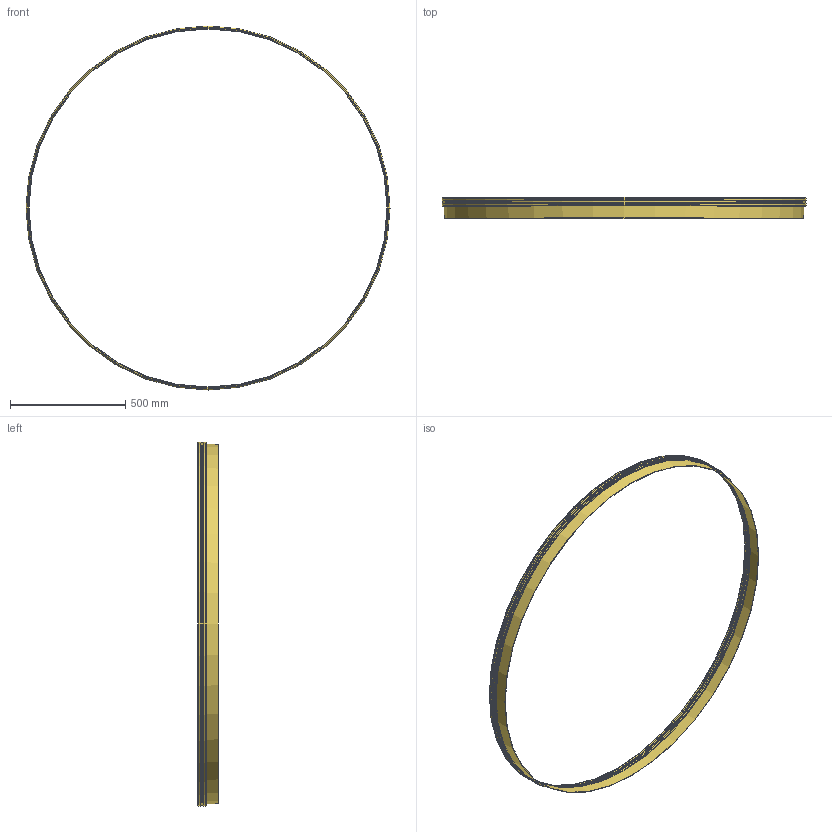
import cadquery as cq

sheet_thickness = 2.0
total_width = 89.0
crest_radius = 1576 / 2
groove_radius = 1567.5 / 2
skirt_top_radius = 1559 / 2
skirt_end_radius = 1554 / 2

groove_floor_half_width = 3.25
crest_width = 6.75
flank_width = crest_radius - groove_radius

crest_near = groove_floor_half_width + flank_width
crest_far = crest_near + crest_width
rim_half_width = crest_far + flank_width
groove_y = total_width - rim_half_width
rim_bottom_y = groove_y - rim_half_width

web_top_y = rim_bottom_y + sheet_thickness
web_corner_radius = groove_radius


def corrugation(inset):
    """Points of two crests and the groove between them, moved inward by the inset."""
    crest = crest_radius - inset
    groove = groove_radius - inset
    return [
        (groove, total_width),
        (crest, groove_y + crest_far),
        (crest, groove_y + crest_near),
        (groove, groove_y + groove_floor_half_width),
        (groove, groove_y - groove_floor_half_width),
        (crest, groove_y - crest_near),
        (crest, groove_y - crest_far),
    ]


def ring_profile():
    """Closed half section of the sheet: outer face down, inner face back up."""
    web_and_skirt = [
        (groove_radius, rim_bottom_y),
        (skirt_top_radius, rim_bottom_y),
        (skirt_end_radius, 0),
        (skirt_end_radius - sheet_thickness, 0),
        (skirt_top_radius - sheet_thickness, web_top_y),
        (web_corner_radius, web_top_y),
    ]
    inner_face = corrugation(sheet_thickness)[::-1]
    points = corrugation(0) + web_and_skirt + inner_face
    return cq.Workplane("XY").polyline(points).close()


result = ring_profile().revolve(360, (0, 0, 0), (0, 1, 0))